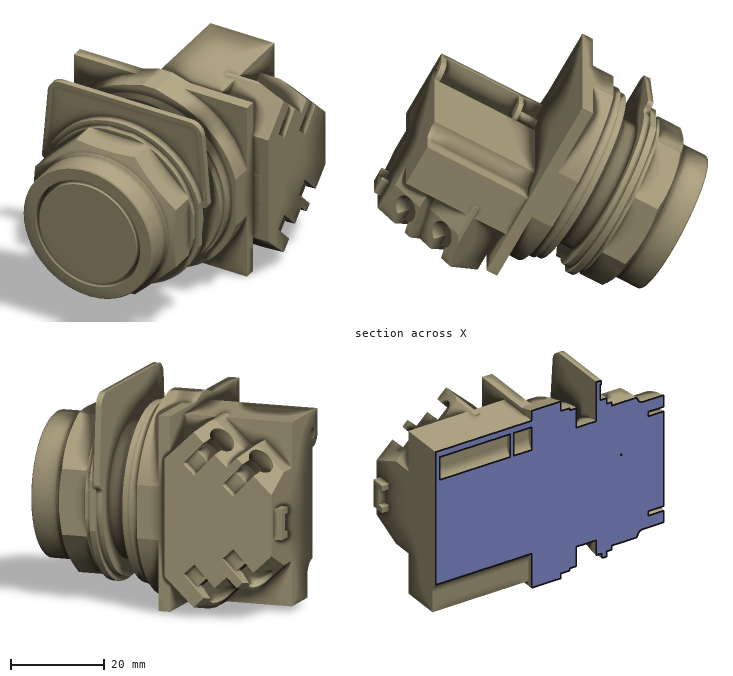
import math

import cadquery as cq


COLLAR_BACK_Y = 5.65
NUT_FRONT_Y = 6.37
NUT_BACK_Y = 13.3
SEAL_BACK_Y = 14.57
WASHER_BACK_Y = 16.0
TAG_BACK_Y = 17.35
FLANGE_FRONT_Y = 22.35
FLANGE_STEP_Y = 24.0
BODY_FRONT_Y = 26.35
PLATE_FRONT_Y = 31.3
PLATE_BACK_Y = 33.9
TERMINAL_FRONT_Y = 34.0
BLOCK_BACK_Y = 58.5
TOTAL_LENGTH = 60.3

COLLAR_RADIUS = 16.0
COLLAR_CHAMFER = 0.25
BUTTON_RADIUS = 12.0
BUTTON_GAP = 1.0
BUTTON_GAP_DEPTH = 4.0
NECK_RADIUS = 15.0
FLANGE_FRONT_RADIUS = 19.83
FLANGE_BACK_RADIUS = 20.37
SEAL_RADIUS = 18.6
SEAL_FLAT_DISTANCE = 18.35
WASHER_RADIUS = 19.87
WASHER_HALF_WIDTH = 19.1

NUT_SIDES = 8
NUT_ACROSS_FLATS = 34.9
NUT_TIP_RADIUS = 16.35
NUT_CHAMFER_RATIO = 1.9

TAG_TOP_Z = 24.57
TAG_TOP_HALF_WIDTH = 18.87
TAG_FOOT_Z = 3.85
TAG_FOOT_HALF_WIDTH = 20.65
TAG_FOOT_ROUND = 1.1
TAG_CORNER_RADIUS = 3.2
TAG_DISC_RADIUS = 18.7
TAG_DISC_FILLET = 1.1
TAG_RIM = 1.1
TAG_RECESS = 0.3
TAG_RECESS_FOOT_Z = 5.05

PLATE_HALF_WIDTH = 21.45
BODY_RADIUS = 22.24
HUMP_TOP_Z = 22.73
HUMP_TOP_HALF_WIDTH = 1.63
HUMP_BASE_HALF_WIDTH = 6.55

BLOCK_LEFT_X = -3.32
BLOCK_STEP_X = 12.55
BLOCK_WIDTH = 28.5
BLOCK_RIGHT_X = BLOCK_LEFT_X + BLOCK_WIDTH
BLOCK_HALF_HEIGHT = 20.2
HINGE_RADIUS = 3.15
HINGE_X = BLOCK_LEFT_X + HINGE_RADIUS
HINGE_Z = 15.35
HINGE_PIN_RADIUS = 1.23
WINDOW_TOP_Z = 18.5
BACK_LUG_THICKNESS = 1.25
FRONT_LUG_START_Y = 38.4
FRONT_LUG_END_Y = 39.45

TOOTH_SLOPE = 0.949
TOOTH_RIDGES = ((42.5, 20.97), (52.4, 16.0))
TOOTH_LEFT_X = 10.0
TOOTH_TOP_Z = 20.55
TILT_START_X = 17.45
TILT_SLOPE = 0.453
SCREW_RADIUS = 3.0
SCREW_X = 20.3
SCREW_Y = (45.4, 54.3)
SCREW_SEAT_DEPTH = 3.2
SCREW_SINK_DEPTH = 1.4
WIRE_SLOT_WIDTH = 3.45
WIRE_SLOT_DEPTH = 6.4
SINK_SLOT_END_X = 24.05

PLUNGER_LEFT_X = 20.1
PLUNGER_RIGHT_X = 23.6
PLUNGER_HALF_HEIGHT = 3.35
PLUNGER_GROOVE_HALF_WIDTH = 2.0
PLUNGER_GROOVE_DEPTH = 1.5

REACH = 60.0


def xz_plane(y):
    """Plane across the button axis at y: local x is -X, local y is Z, extrusion goes to the back."""
    return cq.Workplane(cq.Plane(origin=(0, y, 0), xDir=(-1, 0, 0), normal=(0, 1, 0)))


def disc(radius, y_start, y_end):
    return xz_plane(y_start).circle(radius).extrude(y_end - y_start)


def block(x_start, x_end, y_start, y_end, z_start, z_end):
    size = (x_end - x_start, y_end - y_start, z_end - z_start)
    return cq.Workplane("XY").box(*size, centered=False).translate((x_start, y_start, z_start))


def make_button():
    """Chamfered collar with a ring gap round the flush button, and the neck behind."""
    collar = disc(COLLAR_RADIUS, 0, COLLAR_BACK_Y).faces("<Y").edges().chamfer(COLLAR_CHAMFER)
    gap = disc(BUTTON_RADIUS + BUTTON_GAP, 0, BUTTON_GAP_DEPTH)
    gap = gap.cut(disc(BUTTON_RADIUS, 0, BUTTON_GAP_DEPTH))
    neck = disc(NECK_RADIUS, COLLAR_BACK_Y, BODY_FRONT_Y)
    return collar.cut(gap).union(neck)


def make_nut():
    """Octagonal nut whose front corners are turned down by a cone."""
    corner_diameter = NUT_ACROSS_FLATS / math.cos(math.pi / NUT_SIDES)
    octagon = (
        xz_plane(COLLAR_BACK_Y)
        .transformed(rotate=(0, 0, 180 / NUT_SIDES))
        .polygon(NUT_SIDES, corner_diameter)
        .extrude(NUT_BACK_Y - COLLAR_BACK_Y)
    )
    cone_length = NUT_BACK_Y - NUT_FRONT_Y
    turned = (
        cq.Workplane("XY")
        .moveTo(0, COLLAR_BACK_Y)
        .lineTo(COLLAR_RADIUS, COLLAR_BACK_Y)
        .lineTo(NUT_TIP_RADIUS, NUT_FRONT_Y)
        .lineTo(NUT_TIP_RADIUS + NUT_CHAMFER_RATIO * cone_length, NUT_BACK_Y)
        .lineTo(0, NUT_BACK_Y)
        .close()
        .revolve(360, (0, 0), (0, 1))
    )
    return octagon.intersect(turned)


def tag_outline(inset, foot_z):
    """Trapezoid of the tag, moved inward by inset at the top and sides, down to foot_z."""
    lean = (TAG_FOOT_HALF_WIDTH - TAG_TOP_HALF_WIDTH) / (TAG_TOP_Z - TAG_FOOT_Z)
    side_inset = inset * math.hypot(1, lean)
    top_z = TAG_TOP_Z - inset

    def half_width(z):
        return TAG_TOP_HALF_WIDTH + lean * (TAG_TOP_Z - z) - side_inset

    top = half_width(top_z)
    foot = half_width(foot_z)
    return [(-foot, foot_z), (-top, top_z), (top, top_z), (foot, foot_z)]


def make_tag():
    """Name tag: round disc and flared upper panel with a raised rim."""
    thickness = TAG_BACK_Y - WASHER_BACK_Y
    panel = xz_plane(WASHER_BACK_Y).polyline(tag_outline(0, TAG_FOOT_Z)).close().extrude(thickness)
    panel = panel.edges("|Y").edges(">Z").fillet(TAG_CORNER_RADIUS)
    panel = panel.edges("|Y").edges("<Z").fillet(TAG_FOOT_ROUND)
    recess = (
        xz_plane(WASHER_BACK_Y)
        .polyline(tag_outline(TAG_RIM, TAG_RECESS_FOOT_Z))
        .close()
        .extrude(TAG_RECESS)
        .edges("|Y").edges(">Z")
        .fillet(TAG_CORNER_RADIUS - TAG_RIM)
    )
    recess = recess.cut(washer_disc(WASHER_BACK_Y, TAG_BACK_Y))
    tag = panel.union(disc(TAG_DISC_RADIUS, WASHER_BACK_Y, TAG_BACK_Y))
    corner_x = math.sqrt(TAG_DISC_RADIUS**2 - TAG_FOOT_Z**2)
    for side in (-1, 1):
        corner = (side * corner_x, WASHER_BACK_Y + thickness / 2, TAG_FOOT_Z)
        tag = tag.edges(cq.selectors.NearestToPointSelector(corner)).fillet(TAG_DISC_FILLET)
    return tag.cut(recess)


def washer_disc(y_start, y_end):
    """Round washer outline with flats on the left and right."""
    sides = block(-WASHER_HALF_WIDTH, WASHER_HALF_WIDTH, y_start, y_end, -REACH, REACH)
    return disc(WASHER_RADIUS, y_start, y_end).intersect(sides)


def make_washers():
    """Seal flattened at the top and sides behind the nut, and the larger washer behind it."""
    flat = SEAL_FLAT_DISTANCE
    flats = block(-flat, flat, NUT_BACK_Y, SEAL_BACK_Y, -REACH, flat)
    seal = disc(SEAL_RADIUS, NUT_BACK_Y, SEAL_BACK_Y).intersect(flats)
    return seal.union(washer_disc(SEAL_BACK_Y, WASHER_BACK_Y))


def make_body():
    """Flange steps, round body with a hump on top, and the square plate."""
    flange = disc(FLANGE_FRONT_RADIUS, FLANGE_FRONT_Y, FLANGE_STEP_Y)
    flange = flange.union(disc(FLANGE_BACK_RADIUS, FLANGE_STEP_Y, BODY_FRONT_Y))
    depth = PLATE_BACK_Y - BODY_FRONT_Y
    w = PLATE_HALF_WIDTH
    envelope = block(-w, w, BODY_FRONT_Y, PLATE_BACK_Y, -w, REACH)
    hump_base_z = math.sqrt(BODY_RADIUS**2 - HUMP_BASE_HALF_WIDTH**2)
    hump = (
        xz_plane(BODY_FRONT_Y)
        .moveTo(0, 0)
        .lineTo(HUMP_BASE_HALF_WIDTH, hump_base_z)
        .lineTo(HUMP_TOP_HALF_WIDTH, HUMP_TOP_Z)
        .lineTo(-HUMP_TOP_HALF_WIDTH, HUMP_TOP_Z)
        .lineTo(-HUMP_BASE_HALF_WIDTH, hump_base_z)
        .close()
        .extrude(depth)
    )
    body = disc(BODY_RADIUS, BODY_FRONT_Y, PLATE_BACK_Y).intersect(envelope)
    crown = block(
        -HUMP_BASE_HALF_WIDTH, HUMP_BASE_HALF_WIDTH, BODY_FRONT_Y, PLATE_BACK_Y, hump_base_z, REACH
    )
    body = body.cut(crown).union(hump)
    plate = block(-w, w, PLATE_FRONT_Y, PLATE_BACK_Y, -w, w)
    return flange.union(body).union(plate)


def hinge_channel(y_start, y_end, z_end):
    """Tool solid for a hinge channel open to the left: round inner end, flat up to z_end."""
    barrel = disc(HINGE_RADIUS, y_start, y_end).translate((HINGE_X, 0, HINGE_Z))
    right_x = HINGE_X + HINGE_RADIUS
    mouth = block(BLOCK_LEFT_X, HINGE_X, y_start, y_end, HINGE_Z - HINGE_RADIUS, HINGE_Z)
    return barrel.union(mouth).union(block(BLOCK_LEFT_X, right_x, y_start, y_end, HINGE_Z, z_end))


def hinge_lugs():
    """Two round-bottomed lugs; the back one is bored and the front one carries a pin."""
    back_lug_y = BLOCK_BACK_Y - BACK_LUG_THICKNESS
    lugs = None
    for start, end in ((FRONT_LUG_START_Y, FRONT_LUG_END_Y), (back_lug_y, BLOCK_BACK_Y)):
        lug = disc(HINGE_RADIUS, start, end).translate((HINGE_X, 0, HINGE_Z))
        right_x = HINGE_X + HINGE_RADIUS
        lug = lug.union(block(BLOCK_LEFT_X, right_x, start, end, HINGE_Z, WINDOW_TOP_Z))
        lugs = lug if lugs is None else lugs.union(lug)
    bore = disc(HINGE_PIN_RADIUS, back_lug_y, BLOCK_BACK_Y).translate((HINGE_X, 0, HINGE_Z))
    pin = disc(HINGE_PIN_RADIUS, PLATE_BACK_Y, FRONT_LUG_START_Y).translate((HINGE_X, 0, HINGE_Z))
    return lugs.cut(bore).union(pin)


def make_hinge_block():
    """Left part of the contact block, hinged at the top and rebated at the bottom."""
    height = BLOCK_HALF_HEIGHT
    base = block(BLOCK_LEFT_X, BLOCK_STEP_X, PLATE_BACK_Y, BLOCK_BACK_Y, -height, height)
    side = block(
        BLOCK_LEFT_X,
        HINGE_X,
        PLATE_BACK_Y,
        BLOCK_BACK_Y,
        HINGE_RADIUS - HINGE_Z,
        HINGE_Z - HINGE_RADIUS,
    )
    rebate = hinge_channel(PLATE_BACK_Y, BLOCK_BACK_Y, height).mirror("XY")
    window = hinge_channel(PLATE_BACK_Y, BLOCK_BACK_Y, WINDOW_TOP_Z)
    return base.cut(side).cut(rebate).cut(window).union(hinge_lugs())


def make_tooth(ridge_y, ridge_z, tilted):
    """One terminal tooth with equal slopes, cut down at its right end by the tilted face."""
    profile = [
        (ridge_y - ridge_z / TOOTH_SLOPE, 0),
        (ridge_y, ridge_z),
        (ridge_y + ridge_z / TOOTH_SLOPE, 0),
    ]
    tooth = (
        cq.Workplane("YZ", origin=(TOOTH_LEFT_X, 0, 0))
        .polyline(profile)
        .close()
        .extrude(BLOCK_RIGHT_X - TOOTH_LEFT_X)
    )
    return tooth.cut(cq.Workplane(tilted).rect(REACH, REACH).extrude(REACH))


def tilted_plane(ridge_y, ridge_z, screw_y):
    """Plane of a tooth's tilted face, centred on its screw, with local x along the ridge."""
    ridge_y_run = -TILT_SLOPE / (2 * TOOTH_SLOPE)
    ridge_direction = (1, ridge_y_run, TOOTH_SLOPE * ridge_y_run)
    screw_z = ridge_z - TOOTH_SLOPE * (screw_y - ridge_y) - TILT_SLOPE * (SCREW_X - TILT_START_X)
    return cq.Plane((SCREW_X, screw_y, screw_z), ridge_direction, (TILT_SLOPE, TOOTH_SLOPE, 1))


def keyhole(plane, slot_length, depth):
    """Tool solid for a screw hole with a wire slot along local x, sunk below the plane."""
    hole = cq.Workplane(plane).circle(SCREW_RADIUS).extrude(-depth)
    slot = cq.Workplane(plane).center(slot_length / 2, 0).rect(slot_length, WIRE_SLOT_WIDTH)
    return hole.union(slot.extrude(-depth))


def make_recess(tilted):
    """Keyhole square to the tilted face down to a seat, then square to the tooth's back slope."""
    seat_origin = tilted.origin - tilted.zDir * SCREW_SEAT_DEPTH
    seat = cq.Plane(seat_origin, (1, 0, 0), (0, TOOTH_SLOPE, 1))
    sink_slot_length = SINK_SLOT_END_X - seat_origin.x
    below_seat = (
        cq.Workplane(seat)
        .center(sink_slot_length - REACH / 2, 0)
        .rect(REACH, REACH)
        .extrude(-REACH)
    )
    upper = keyhole(tilted, BLOCK_RIGHT_X, WIRE_SLOT_DEPTH).cut(below_seat)
    lower = keyhole(seat, sink_slot_length, SCREW_SINK_DEPTH)
    return upper.union(lower)


def make_terminals():
    """Saw-tooth terminals, the same above and below the middle plane."""
    planes = [
        tilted_plane(ridge_y, ridge_z, screw_y)
        for (ridge_y, ridge_z), screw_y in zip(TOOTH_RIDGES, SCREW_Y)
    ]
    front_tooth, back_tooth = (
        make_tooth(ridge_y, ridge_z, plane) for (ridge_y, ridge_z), plane in zip(TOOTH_RIDGES, planes)
    )
    teeth = front_tooth.union(back_tooth)
    for plane in planes:
        teeth = teeth.cut(make_recess(plane))
    limits = block(TOOTH_LEFT_X, BLOCK_RIGHT_X, TERMINAL_FRONT_Y, BLOCK_BACK_Y, 0, TOOTH_TOP_Z)
    upper = teeth.intersect(limits)
    return upper.union(upper.mirror("XY"))


def make_plunger():
    """Plunger running through the block to the plate, with a groove in its back end."""
    plunger = block(
        PLUNGER_LEFT_X,
        PLUNGER_RIGHT_X,
        PLATE_BACK_Y,
        TOTAL_LENGTH,
        -PLUNGER_HALF_HEIGHT,
        PLUNGER_HALF_HEIGHT,
    )
    groove = block(
        PLUNGER_LEFT_X,
        PLUNGER_LEFT_X + PLUNGER_GROOVE_DEPTH,
        BLOCK_BACK_Y,
        TOTAL_LENGTH,
        -PLUNGER_GROOVE_HALF_WIDTH,
        PLUNGER_GROOVE_HALF_WIDTH,
    )
    return plunger.cut(groove)


result = make_button()
for feature in (
    make_nut(),
    make_washers(),
    make_tag(),
    make_body(),
    make_hinge_block(),
    make_terminals(),
    make_plunger(),
):
    result = result.union(feature)